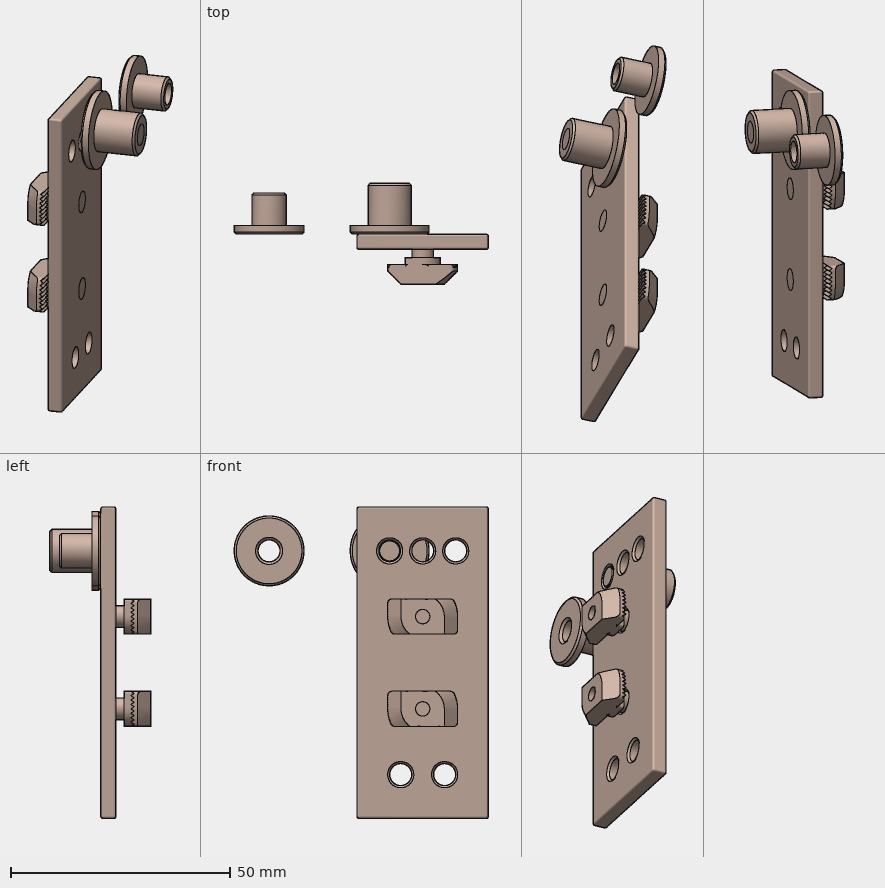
import cadquery as cq
import math

PLATE_WIDTH = 29.95
PLATE_HEIGHT = 71.0
PLATE_THICKNESS = 3.5
EDGE_RADIUS = 0.5

HOLE_DIAMETER = 5.0
HOLE_MOUTH_DIAMETER = 5.95
HOLE_ROW_Z = PLATE_HEIGHT / 2 - 10.0
UPPER_HOLE_PITCH = 7.5
LOWER_HOLE_PITCH = 10.0

FLANGE_THICKNESS = 2.0
BUSHING_CHAMFER = 0.5
BUSHING_BORE = HOLE_DIAMETER
BUSHING_MOUTH_DIAMETER = 6.2
LARGE_FLANGE_DIAMETER = 18.0
LARGE_SHANK_DIAMETER = 9.9
LARGE_SHANK_LENGTH = 9.65
SMALL_FLANGE_DIAMETER = 16.0
SMALL_SHANK_DIAMETER = 7.9
SMALL_SHANK_LENGTH = 7.45
LARGE_BUSHING_X = -UPPER_HOLE_PITCH
SMALL_BUSHING_X = -35.0

PIN_CHAMFER = 0.2

NUT_LENGTH = 16.0
NUT_WIDTH = 8.0
NUT_GAP = 1.85
NUT_HEIGHT = 6.1
BOSS_HEIGHT = 1.55
NUT_CHAMFER = 3.05
NUT_CORNER_RADIUS = 1.0
BOSS_CORNER_RADIUS = 0.6
NUT_FACE_HOLE_DIAMETER = 3.3
NUT_FACE_HOLE_DEPTH = 1.4
NUT_OFFSET_Z = 10.5
TOOTH_COUNT = 8
TOOTH_PITCH = NUT_WIDTH / TOOTH_COUNT
TOOTH_DEPTH = 0.7
SCREW_DIAMETER = HOLE_DIAMETER

NUT_BACK_Y = -NUT_GAP
NUT_SHOULDER_Y = NUT_BACK_Y - BOSS_HEIGHT
NUT_FACE_Y = NUT_BACK_Y - NUT_HEIGHT
SCREW_TIP_Y = NUT_FACE_Y + NUT_FACE_HOLE_DEPTH

NUT_CENTRES = [(0, NUT_OFFSET_Z), (0, -NUT_OFFSET_Z)]
UPPER_HOLES = [(step * UPPER_HOLE_PITCH, HOLE_ROW_Z) for step in (-1, 0, 1)]
LOWER_HOLES = [(side * LOWER_HOLE_PITCH / 2, -HOLE_ROW_Z) for side in (-1, 1)]


def cylinder(x, z, diameter, y_start, y_end):
    """Cylinder along Y from y_start to y_end."""
    base = cq.Workplane("XZ", origin=(x, y_end, z))
    return base.circle(diameter / 2).extrude(y_end - y_start)


def countersink(x, z, y_face, mouth, bore):
    """Cone at 45 degrees that breaks the front mouth of a bore."""
    depth = (mouth - bore) / 2
    mouth_centre = cq.Vector(x, y_face, z)
    inward = cq.Vector(0, 1, 0)
    return cq.Workplane(cq.Solid.makeCone(mouth / 2, bore / 2, depth, mouth_centre, inward))


def make_plate():
    plate = cq.Workplane("XZ").rect(PLATE_WIDTH, PLATE_HEIGHT).extrude(-PLATE_THICKNESS)
    plate = plate.edges().fillet(EDGE_RADIUS)
    for x, z in UPPER_HOLES + LOWER_HOLES + NUT_CENTRES:
        plate = plate.cut(cylinder(x, z, HOLE_DIAMETER, 0, PLATE_THICKNESS))
        plate = plate.cut(countersink(x, z, 0, HOLE_MOUTH_DIAMETER, HOLE_DIAMETER))
    return plate


def make_bushing(x, flange_diameter, shank_diameter, shank_length):
    """Bored bushing with a flange whose face lies on the plane of the plate's back."""
    flange_back_y = PLATE_THICKNESS + FLANGE_THICKNESS
    end_y = flange_back_y + shank_length
    flange = cylinder(x, HOLE_ROW_Z, flange_diameter, PLATE_THICKNESS, flange_back_y)
    flange = flange.faces("<Y").chamfer(BUSHING_CHAMFER)
    shank = cylinder(x, HOLE_ROW_Z, shank_diameter, flange_back_y, end_y)
    shank = shank.faces(">Y").chamfer(BUSHING_CHAMFER)
    bushing = flange.union(shank).cut(cylinder(x, HOLE_ROW_Z, BUSHING_BORE, PLATE_THICKNESS, end_y))
    mouth = countersink(x, HOLE_ROW_Z, PLATE_THICKNESS, BUSHING_MOUTH_DIAMETER, BUSHING_BORE)
    return bushing.cut(mouth)


def make_pin():
    """Pin with a chamfered tip that fills the first upper hole and the bore of the large bushing."""
    end_y = PLATE_THICKNESS + FLANGE_THICKNESS + LARGE_SHANK_LENGTH
    pin = cylinder(LARGE_BUSHING_X, HOLE_ROW_Z, BUSHING_BORE, 0, end_y)
    return pin.faces("<Y").chamfer(PIN_CHAMFER)


def twist_prism(length, y_start, y_end):
    """Bar along X whose ends are straight on one half and round on the other.

    The round halves lie at (+X, +Z) and (-X, -Z) on a circle about the bar's centre, so that
    the nut can turn to lock in its slot.
    """
    end = length / 2
    side = NUT_WIDTH / 2
    arc_end_x = math.sqrt(end**2 - side**2)
    half_angle = math.asin(side / end) / 2
    arc_mid_x = end * math.cos(half_angle)
    arc_mid_z = end * math.sin(half_angle)
    return (
        cq.Workplane("XZ", origin=(0, y_end, 0))
        .moveTo(end, 0)
        .threePointArc((arc_mid_x, arc_mid_z), (arc_end_x, side))
        .lineTo(-end, side)
        .lineTo(-end, 0)
        .threePointArc((-arc_mid_x, -arc_mid_z), (-arc_end_x, -side))
        .lineTo(end, -side)
        .close()
        .extrude(y_end - y_start)
    )


def make_tooth_grooves():
    """V grooves along X that leave pointed teeth on the shoulder of the nut."""
    grooves = cq.Workplane("YZ", origin=(-NUT_LENGTH / 2, 0, 0))
    for index in range(TOOTH_COUNT):
        valley_z = (index + 0.5) * TOOTH_PITCH - NUT_WIDTH / 2
        grooves = grooves.polyline(
            [
                (NUT_SHOULDER_Y, valley_z - TOOTH_PITCH / 2),
                (NUT_SHOULDER_Y - TOOTH_DEPTH, valley_z),
                (NUT_SHOULDER_Y, valley_z + TOOTH_PITCH / 2),
            ]
        ).close()
    return grooves.extrude(NUT_LENGTH)


def make_nut(x, z):
    """T-nut with chamfered ends, a toothed shoulder, a plain boss and a stepped screw hole."""
    prism = twist_prism(NUT_LENGTH, NUT_FACE_Y, NUT_SHOULDER_Y)
    rounded = prism.edges("|Y").edges(">Z or <Z").fillet(NUT_CORNER_RADIUS)
    chamfered = prism.faces("<Y").edges("not |X").chamfer(NUT_CHAMFER)
    body = chamfered.intersect(rounded).cut(make_tooth_grooves())

    boss = twist_prism(NUT_WIDTH, NUT_SHOULDER_Y - TOOTH_DEPTH, NUT_BACK_Y)
    boss = boss.edges(">(-1, 0, 1) or <(-1, 0, 1)").fillet(BOSS_CORNER_RADIUS)
    nut = body.union(boss)
    nut = nut.cut(cylinder(0, 0, SCREW_DIAMETER, SCREW_TIP_Y, NUT_BACK_Y))
    nut = nut.cut(cylinder(0, 0, NUT_FACE_HOLE_DIAMETER, NUT_FACE_Y, SCREW_TIP_Y))
    return nut.translate((x, 0, z))


def make_screw(x, z):
    """Headless screw from the plate's back to the step inside the nut."""
    return cylinder(x, z, SCREW_DIAMETER, SCREW_TIP_Y, PLATE_THICKNESS)


plate = make_plate()
large_bushing = make_bushing(
    LARGE_BUSHING_X, LARGE_FLANGE_DIAMETER, LARGE_SHANK_DIAMETER, LARGE_SHANK_LENGTH
)
small_bushing = make_bushing(
    SMALL_BUSHING_X, SMALL_FLANGE_DIAMETER, SMALL_SHANK_DIAMETER, SMALL_SHANK_LENGTH
)
pin = make_pin()
nuts = [make_nut(x, z) for x, z in NUT_CENTRES]
screws = [make_screw(x, z) for x, z in NUT_CENTRES]

result = cq.Compound.makeCompound(
    [
        plate.val(),
        large_bushing.val(),
        small_bushing.val(),
        pin.val(),
        *[nut.val() for nut in nuts],
        *[screw.val() for screw in screws],
    ]
)